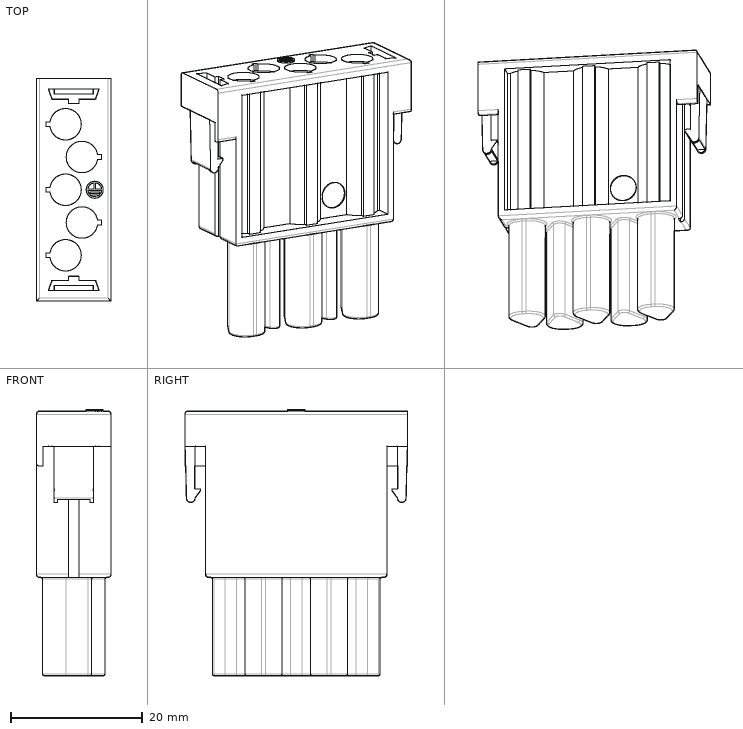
import math

import cadquery as cq

pin_length = 15.0
housing_top = 40.4
flange_bottom = 35.0
lip_bottom = 32.0

housing_width = 11.4
housing_length = 27.7
flange_length = 34.0
lip_thickness = 1.0
edge_radius = 0.5
side_x = housing_width / 2
housing_end_y = housing_length / 2
flange_end_y = flange_length / 2

contact_pitch = 5.0
contact_count = 5
contact_offset = 1.25
contact_bore_diameter = 4.8
contact_bore_depth = 1.1
key_width = 0.7
key_reach = 2.95

pin_half_depth = 4.78
pin_broad_radius = 2.5
pin_broad_half_gap = 0.3
pin_tip_radius = 1.0
pin_tip_reach = 2.72
pin_edge_radius = 0.3
pin_root_radius = 0.25

pocket_half_length = 12.85
pocket_bottom = 16.4
pocket_top = 38.95
pocket_floor_x = -2.75
pocket_end_floor_x = -3.15
tube_radius = 3.1
tube_rib_width = 1.9
tube_rib_face_x = -4.8
dimple_diameter = 4.0
dimple_depth = 0.2
dimple_z = 19.8

slot_outer_y = 15.35
slot_outer_half_width = 3.85
slot_inner_half_width = 3.3
groove_width = 1.6
groove_depth = 0.65

latch_width = 6.0
latch_outer_y = 16.95
latch_inner_y = 15.46
latch_tip_outer_y = 16.78
latch_tip_bottom = 26.45
latch_tip_radius = 0.68
hook_y = 14.58
hook_top = 28.54
hook_nose_height = 0.25
latch_relief_width = 5.0
latch_relief_height = 0.45

symbol_x = 3.2
symbol_height = 0.2
symbol_outer_diameter = 2.6
symbol_inner_diameter = 2.1
symbol_stroke = 0.25
symbol_bar_spacing = 0.45
symbol_bar_lengths = (2.2, 1.5, 0.8)


def box(x_range, y_range, z_range):
    """Axis-aligned block between the given limits."""
    x0, x1 = x_range
    y0, y1 = y_range
    z0, z1 = z_range
    return cq.Workplane("XY").box(x1 - x0, y1 - y0, z1 - z0, centered=False).translate((x0, y0, z0))


def contact_places():
    """Lean direction along X and Y position of every contact."""
    middle = (contact_count - 1) / 2
    return [(-1 if i % 2 == 0 else 1, (i - middle) * contact_pitch) for i in range(contact_count)]


def both_ends(feature):
    """The feature together with its mirror image at the +Y end."""
    return feature.union(feature.mirror("XZ"))


def make_housing():
    body = box((-side_x, side_x), (-housing_end_y, housing_end_y), (pin_length, flange_bottom))
    body = body.faces("<Z").edges().fillet(edge_radius)

    flange = box((-side_x, side_x), (-flange_end_y, flange_end_y), (flange_bottom, housing_top))
    flange = flange.faces(">Z").edges("<X or >X or <Y").fillet(edge_radius)

    lip_x = (-side_x, -side_x + lip_thickness)
    lip = box(lip_x, (-flange_end_y, flange_end_y), (lip_bottom, flange_bottom))
    lip = lip.edges("<X and <Z").fillet(edge_radius)
    return body.union(flange).union(lip)


def make_pocket():
    """Volume removed from the -X side, leaving the contact tubes and their ribs."""
    pocket_z = (pocket_bottom, pocket_top)
    height = pocket_top - pocket_bottom
    tube_places = [(lean * contact_offset, y) for lean, y in contact_places() if lean < 0]
    outer_tube_y = tube_places[-1][1]

    pocket = box((-side_x, pocket_end_floor_x), (-pocket_half_length, pocket_half_length), pocket_z)
    deep_part = box((-side_x, pocket_floor_x), (-outer_tube_y, outer_tube_y), pocket_z)
    pocket = pocket.union(deep_part)

    tubes = cq.Workplane("XY", origin=(0, 0, pocket_bottom)).pushPoints(tube_places)
    pocket = pocket.cut(tubes.circle(tube_radius).extrude(height))
    for x, y in tube_places:
        rib_y = (y - tube_rib_width / 2, y + tube_rib_width / 2)
        pocket = pocket.cut(box((tube_rib_face_x, x), rib_y, pocket_z))
    return pocket


def make_dimple():
    """Shallow round recess in the pocket floor."""
    plane = cq.Workplane("YZ", origin=(pocket_floor_x, -contact_pitch, dimple_z))
    return plane.circle(dimple_diameter / 2).extrude(dimple_depth)


def make_pin(lean, y):
    """Teardrop pin whose broad end points along the lean direction."""
    broad_x = pin_half_depth - pin_broad_radius
    tip_x = pin_tip_radius - pin_tip_reach
    run = broad_x - tip_x
    radius_step = pin_broad_radius - pin_tip_radius
    flank = math.asin(radius_step / math.hypot(run, pin_broad_half_gap))
    flank += math.atan2(pin_broad_half_gap, run)

    def on_broad(angle):
        return (
            broad_x + pin_broad_radius * math.cos(angle),
            pin_broad_half_gap + pin_broad_radius * math.sin(angle),
        )

    touch = math.pi / 2 + flank
    broad_end = on_broad(touch)
    broad_middle = on_broad(touch / 2)
    tip = (tip_x + pin_tip_radius * math.cos(touch), pin_tip_radius * math.sin(touch))

    pin = (
        cq.Workplane("XY")
        .moveTo(pin_half_depth, -pin_broad_half_gap)
        .lineTo(pin_half_depth, pin_broad_half_gap)
        .threePointArc(broad_middle, broad_end)
        .lineTo(*tip)
        .threePointArc((-pin_tip_reach, 0), (tip[0], -tip[1]))
        .lineTo(broad_end[0], -broad_end[1])
        .threePointArc((broad_middle[0], -broad_middle[1]), (pin_half_depth, -pin_broad_half_gap))
        .close()
        .extrude(pin_length)
        .faces("<Z")
        .edges()
        .fillet(pin_edge_radius)
    )
    if lean < 0:
        pin = pin.mirror("YZ")
    return pin.translate((0, y, 0))


def round_pin_roots(part):
    """Fillet the pin outlines where they meet the housing underside."""
    reach_x = side_x - edge_radius
    reach_y = housing_end_y - edge_radius
    margin = pin_root_radius / 2
    root_zone = cq.selectors.BoxSelector(
        (margin - reach_x, margin - reach_y, pin_length - margin),
        (reach_x - margin, reach_y - margin, pin_length + margin),
    )
    return part.edges(root_zone).fillet(pin_root_radius)


def make_contact_bore(lean, y):
    """Blind bore in the top face with a keyway on its outer side."""
    x = lean * contact_offset
    bottom = housing_top - contact_bore_depth
    bore_floor = cq.Workplane("XY", origin=(x, y, bottom))
    bore = bore_floor.circle(contact_bore_diameter / 2).extrude(contact_bore_depth)
    key_x = sorted((x, x + lean * key_reach))
    key = box(key_x, (y - key_width / 2, y + key_width / 2), (bottom, housing_top))
    return bore.union(key)


def make_end_slot():
    """Slot through the flange at the -Y end and the groove below it."""
    slot = (
        cq.Workplane("XY", origin=(0, 0, flange_bottom))
        .polyline([
            (-slot_outer_half_width, -slot_outer_y),
            (slot_outer_half_width, -slot_outer_y),
            (slot_inner_half_width, -housing_end_y),
            (-slot_inner_half_width, -housing_end_y),
        ])
        .close()
        .extrude(housing_top - flange_bottom)
    )
    groove = box(
        (-groove_width / 2, groove_width / 2),
        (-housing_end_y, -housing_end_y + groove_depth),
        (pin_length, housing_top),
    )
    return slot.union(groove)


def make_latch():
    """Hooked latch hanging from the flange at the -Y end."""
    tip_center_z = latch_tip_bottom + latch_tip_radius
    tip_inner_y = latch_tip_outer_y - 2 * latch_tip_radius
    tip_middle = (latch_tip_radius - latch_tip_outer_y, latch_tip_bottom)
    latch = (
        cq.Workplane("YZ", origin=(-latch_width / 2, 0, 0))
        .moveTo(-latch_outer_y, flange_bottom)
        .lineTo(-latch_tip_outer_y, tip_center_z)
        .threePointArc(tip_middle, (-tip_inner_y, tip_center_z))
        .lineTo(-hook_y, hook_top - hook_nose_height)
        .lineTo(-hook_y, hook_top)
        .lineTo(-latch_inner_y, hook_top)
        .lineTo(-latch_inner_y, flange_bottom)
        .close()
        .extrude(latch_width)
    )
    relief = box(
        (-latch_relief_width / 2, latch_relief_width / 2),
        (-latch_outer_y, -hook_y),
        (latch_tip_bottom, latch_tip_bottom + latch_relief_height),
    )
    return latch.cut(relief)


def make_earth_symbol():
    """Raised ring around one upright stroke and three bars that shorten toward -Y."""
    outer = symbol_outer_diameter / 2
    inner = symbol_inner_diameter / 2
    half_stroke = symbol_stroke / 2
    symbol_z = (housing_top, housing_top + symbol_height)
    center = (symbol_x, 0, housing_top)

    symbol = cq.Workplane("XY", origin=center).circle(outer).circle(inner).extrude(symbol_height)
    upright = box((symbol_x - half_stroke, symbol_x + half_stroke), (0, (inner + outer) / 2), symbol_z)
    symbol = symbol.union(upright)
    for i, length in enumerate(symbol_bar_lengths):
        y = -i * symbol_bar_spacing
        bar_x = (symbol_x - length / 2, symbol_x + length / 2)
        symbol = symbol.union(box(bar_x, (y - half_stroke, y + half_stroke), symbol_z))
    return symbol


result = make_housing()
for contact_lean, contact_y in contact_places():
    result = result.union(make_pin(contact_lean, contact_y))
result = round_pin_roots(result)
for contact_lean, contact_y in contact_places():
    result = result.cut(make_contact_bore(contact_lean, contact_y))
result = result.cut(make_pocket()).cut(make_dimple())
result = result.cut(both_ends(make_end_slot()))
result = result.union(both_ends(make_latch()))
result = result.union(make_earth_symbol())